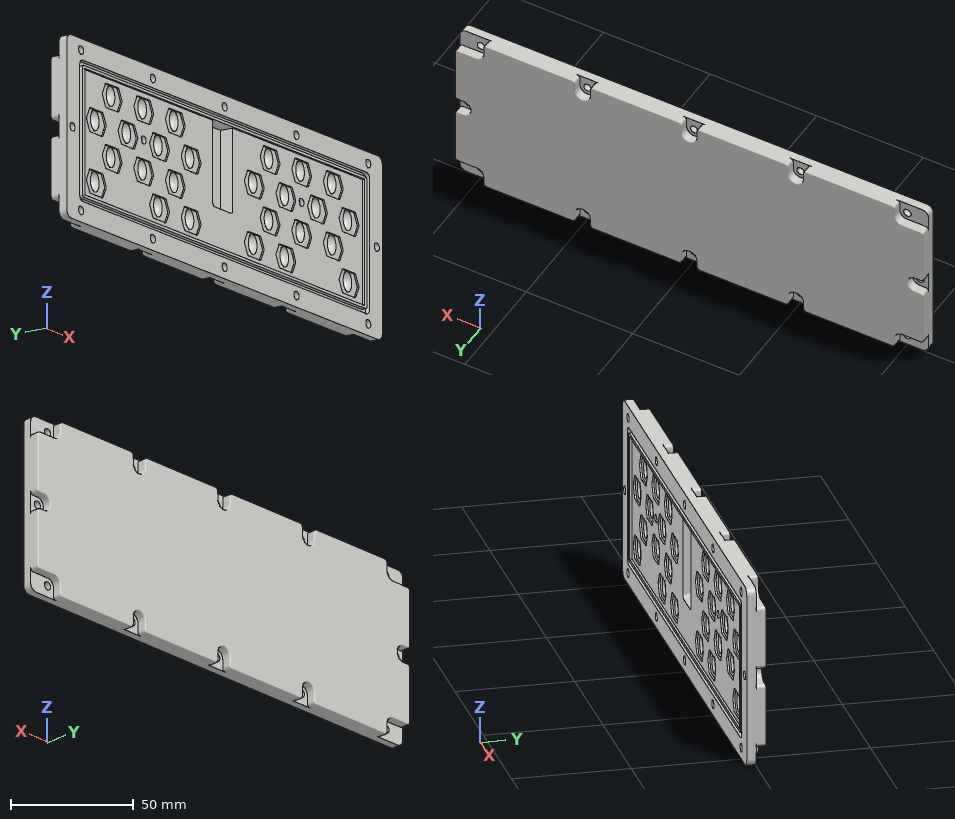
import cadquery as cq
import math

length = 219.96
height = 77.96
thickness = 8.2
corner_radius = 3.2
back_edge_fillet = 0.5

screw_hole_diameter = 3.5
screw_pitch_x = 50.0
screw_row_z = 34.0
side_screw_x = 106.0
flange_thickness = 4.0
notch_radius = 3.5
notch_mouth_fillet = 1.5

groove_length = 202.0
groove_height = 60.0
groove_width = 2.0
groove_depth = 2.0
groove_outer_radius = 2.5
groove_inner_radius = 1.0
field_length = 194.8
field_height = 53.6
field_depth = 1.0

pocket_width = 14.0
pocket_bottom_z = -9.6
pocket_depth = 5.9
pocket_side_draft = 0.3
pocket_bottom_draft = 1.3
pocket_corner_radius = 1.5

lens_pitch_x = 22.0
lens_pitch_z = 13.0
seat_half_width = 6.95
seat_flat_half_length = 4.5
seat_half_height = 5.15
seat_depth = 0.8
seat_corner_radius = 1.0
bowl_radius = 3.0
bowl_half_height = 4.3
bowl_offset_z = 0.8

locating_hole_diameter = 3.3
locating_hole_depth = 2.0
locating_hole_x = 2.5 * lens_pitch_x
locating_hole_z = 6.9

half_length = length / 2
half_height = height / 2
screws_each_side = 2
row_end_x = screws_each_side * screw_pitch_x
seat_floor_y = field_depth + seat_depth
mirror_sides = (-1, 1)


def front_plane(depth):
    """Sketch plane parallel to the front face; its axes are X and Z and it extrudes toward the front."""
    return cq.Workplane("XZ", origin=(0, depth, 0))


def slab(size_x, size_z, front_y, back_y):
    """Rectangular block centred on the plate, spanning front_y to back_y."""
    return front_plane(back_y).rect(size_x, size_z).extrude(back_y - front_y)


def screw_positions():
    """Screw centres: a row along the top and bottom edges and one screw at each end."""
    row_x = [column * screw_pitch_x for column in range(-screws_each_side, screws_each_side + 1)]
    rows = [(x, side * screw_row_z) for x in row_x for side in mirror_sides]
    return rows + [(side * side_screw_x, 0) for side in mirror_sides]


def edge_notch(x, z, along_z):
    """Channel with a round inner end, centred on a screw and running out through the nearest edge."""
    overrun = 2 * (half_height - screw_row_z)
    channel_length = 2 * overrun + 2 * notch_radius
    shift = math.copysign(overrun, z if along_z else x)
    center_x = x if along_z else x + shift
    center_z = z + shift if along_z else z
    angle = 90 if along_z else 0
    channel = front_plane(thickness).center(center_x, center_z).slot2D(channel_length, 2 * notch_radius, angle)
    return channel.extrude(thickness - flange_thickness)


def corner_notch(x, z):
    """Square relief at a plate corner, rounded around the corner screw."""
    reach = 2 * (half_length - row_end_x) + notch_radius
    center_x = x + math.copysign(reach / 2 - notch_radius, x)
    center_z = z + math.copysign(reach / 2 - notch_radius, z)
    relief = front_plane(thickness).center(center_x, center_z).rect(reach, reach)
    return relief.extrude(thickness - flange_thickness).edges("|Y").fillet(notch_radius)


def is_on_outline(edge):
    """Whether an edge lies on the rectangular outside of the plate."""
    center = edge.Center()
    tolerance = 0.01
    return abs(center.x) > half_length - tolerance or abs(center.z) > half_height - tolerance


def build_plate():
    """Full-size flange in front of a body that is notched behind every screw."""
    body = slab(length, height, flange_thickness, thickness)
    for x, z in screw_positions():
        if abs(x) == row_end_x:
            notch = corner_notch(x, z)
        else:
            notch = edge_notch(x, z, along_z=z != 0)
        body = body.cut(notch)
    mouth_edges = [edge for edge in body.edges("|Y").vals() if is_on_outline(edge)]
    body = body.newObject(mouth_edges).fillet(notch_mouth_fillet)
    body = body.faces(">Y").edges().fillet(back_edge_fillet)
    flange = slab(length, height, 0, flange_thickness).edges("|Y").fillet(corner_radius)
    return flange.union(body)


def screw_holes():
    return front_plane(thickness).pushPoints(screw_positions()).circle(screw_hole_diameter / 2).extrude(thickness)


def seal_groove():
    """Rectangular ring with rounded corners."""
    inner_length = groove_length - 2 * groove_width
    inner_height = groove_height - 2 * groove_width
    outer = slab(groove_length, groove_height, 0, groove_depth).edges("|Y").fillet(groove_outer_radius)
    inner = slab(inner_length, inner_height, 0, groove_depth).edges("|Y").fillet(groove_inner_radius)
    return outer.cut(inner)


def pocket_outline(plane, inset_x, inset_bottom):
    top_z = field_height / 2
    bottom_z = pocket_bottom_z + inset_bottom
    half_width = pocket_width / 2 - inset_x
    corners = [(-half_width, bottom_z), (half_width, bottom_z), (half_width, top_z), (-half_width, top_z)]
    return plane.polyline(corners).close()


def cable_pocket():
    """Pocket whose sides and bottom end lean inward toward the floor."""
    floor = pocket_outline(front_plane(field_depth + pocket_depth), pocket_side_draft, pocket_bottom_draft)
    mouth = pocket_outline(floor.workplane(offset=pocket_depth), 0, 0)
    pocket = mouth.loft(ruled=True)
    return pocket.edges("not #Y").edges("<Z").fillet(pocket_corner_radius)


def lens_positions():
    """Seat centres as multiples of the lens pitch, mirrored about the middle of the plate."""
    rows = ((1.5, (1.5, 2.5, 3.5)), (0.5, (1, 2, 3, 4)), (-0.5, (1.5, 2.5, 3.5)), (-1.5, (1, 2, 4)))
    return [
        (side * column * lens_pitch_x, row * lens_pitch_z)
        for row, columns in rows for column in columns for side in mirror_sides
    ]


def lens_seats():
    """Hexagonal recesses in the field."""
    corners = [
        (seat_half_width, 0),
        (seat_flat_half_length, seat_half_height),
        (-seat_flat_half_length, seat_half_height),
        (-seat_half_width, 0),
        (-seat_flat_half_length, -seat_half_height),
        (seat_flat_half_length, -seat_half_height),
    ]
    seat = front_plane(seat_floor_y).polyline(corners).close().extrude(seat_depth)
    seat = seat.edges("|Y").fillet(seat_corner_radius).val()
    return [seat.translate(cq.Vector(x, 0, z)) for x, z in lens_positions()]


def lens_bowls():
    """Elongated half-ellipsoid cavities in the seat floors."""
    start = cq.Workplane("XZ").moveTo(0, -bowl_half_height)
    profile = start.ellipseArc(bowl_radius, bowl_half_height, -90, 90).close()
    bowl = profile.revolve(360, (0, 0), (0, 1)).val()
    return [bowl.translate(cq.Vector(x, seat_floor_y, z + bowl_offset_z)) for x, z in lens_positions()]


def locating_holes():
    points = [(side * locating_hole_x, locating_hole_z) for side in mirror_sides]
    plane = front_plane(field_depth + locating_hole_depth)
    return plane.pushPoints(points).circle(locating_hole_diameter / 2).extrude(locating_hole_depth)


result = build_plate().cut(screw_holes()).cut(seal_groove())
result = result.cut(slab(field_length, field_height, 0, field_depth))
result = result.cut(cable_pocket()).cut(locating_holes())
result = result.cut(cq.Compound.makeCompound(lens_seats()))
result = result.cut(cq.Compound.makeCompound(lens_bowls()))